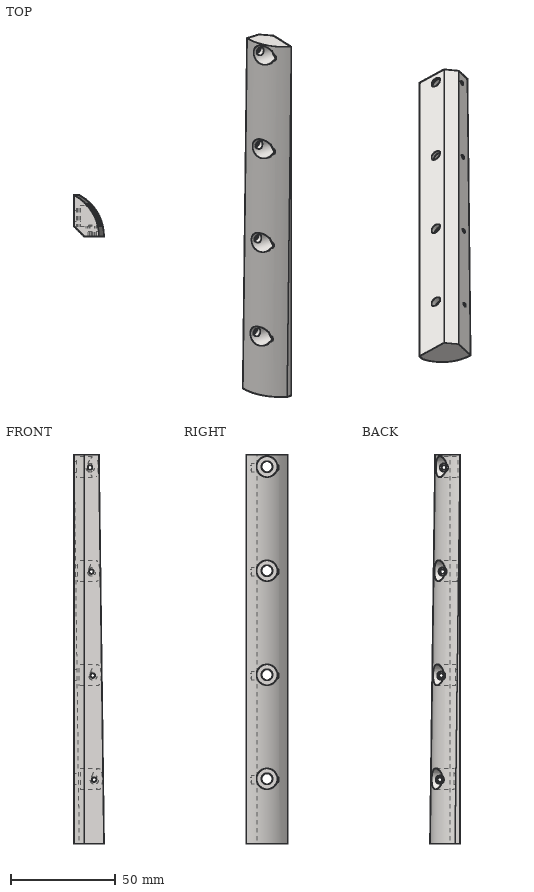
import cadquery as cq
import math

length = 187.01
depth = 20.0
bottom_width = 14.54

round_radius = 22.6
axis_bottom_x = bottom_width - round_radius
axis_top_x = -math.sqrt(round_radius**2 - depth**2)
axis_slope = (axis_top_x - axis_bottom_x) / length

corner_chamfer = 5.0

hole_count = 4
hole_pitch = 50.0
first_cross_hole_z = 31.25
first_small_hole_z = 30.85

cross_hole_diameter = 5.2
cross_bore_diameter = 10.0
cross_bore_depth = 11.1
cross_hole_y = depth / 2

small_hole_diameter = 2.1
small_bore_diameter = 4.0
small_bore_floor_y = 2.5
small_hole_edge_distance = 4.4

overshoot = 1.0


def axis_x(z):
    """X position of the rounding axis at height z."""
    return axis_bottom_x + axis_slope * z


def crest_x(z):
    """X position of the rounded side where it meets the front face, at height z."""
    return axis_x(z) + round_radius


def rod(diameter, start, end):
    """Round cutter between two points."""
    axis = cq.Vector(*end) - cq.Vector(*start)
    return cq.Solid.makeCylinder(diameter / 2, axis.Length, cq.Vector(*start), axis)


def tapered_body():
    """Chamfered rectangular bar whose right side is rounded by the leaning cylinder."""
    profile = [
        (corner_chamfer, 0),
        (bottom_width, 0),
        (bottom_width, depth),
        (0, depth),
        (0, corner_chamfer),
    ]
    bar = cq.Workplane("XY").polyline(profile).close().extrude(length)
    below = -overshoot
    above = length + overshoot
    cylinder = rod(2 * round_radius, (axis_x(below), 0, below), (axis_x(above), 0, above))
    return bar.intersect(cq.Workplane(obj=cylinder))


def cut_cross_hole(body, z):
    end = (bottom_width + overshoot, cross_hole_y, z)
    body = body.cut(rod(cross_hole_diameter, (-overshoot, cross_hole_y, z), end))
    floor_x = crest_x(z) - cross_bore_depth
    return body.cut(rod(cross_bore_diameter, (floor_x, cross_hole_y, z), end))


def cut_small_hole(body, z):
    x = crest_x(z) - small_hole_edge_distance
    end = (x, depth + overshoot, z)
    body = body.cut(rod(small_hole_diameter, (x, -overshoot, z), end))
    return body.cut(rod(small_bore_diameter, (x, small_bore_floor_y, z), end))


result = tapered_body()
for station in range(hole_count):
    rise = station * hole_pitch
    result = cut_cross_hole(result, first_cross_hole_z + rise)
    result = cut_small_hole(result, first_small_hole_z + rise)